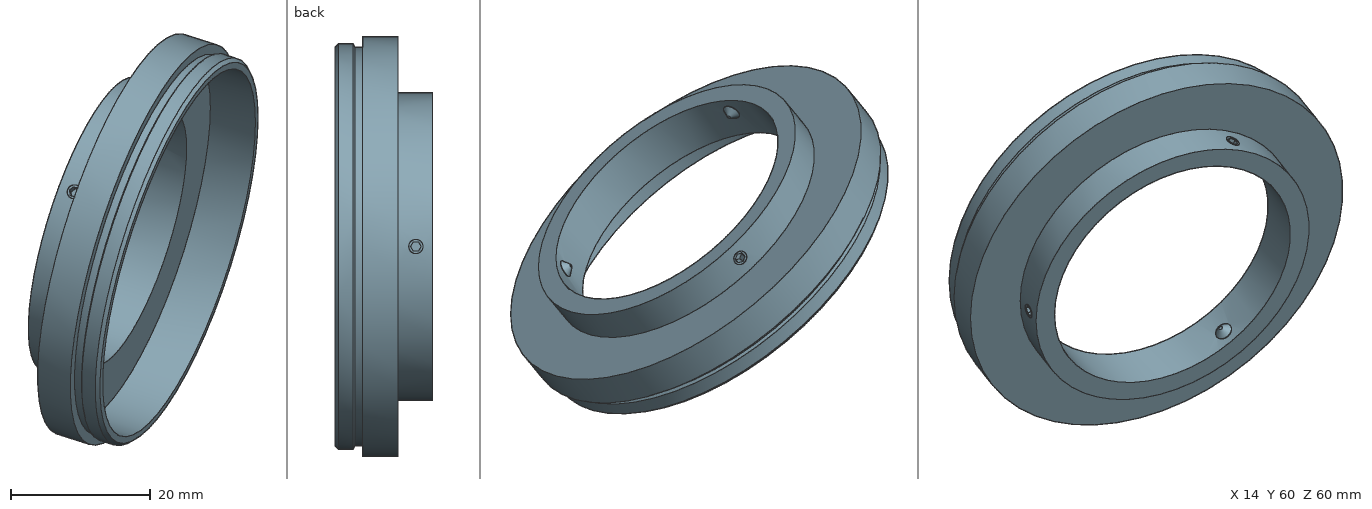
import cadquery as cq
import math

BORE_DIAMETER = 38.0
HUB_DIAMETER = 44.0
FLANGE_DIAMETER = 60
GROOVE_DIAMETER = 57
THREAD_DIAMETER = 58.0
COUNTERBORE_DIAMETER = 55.0
HUB_LENGTH = 4.9
FLANGE_END = 10.0
GROOVE_END = 11.1
TOTAL_LENGTH = 14.0
THREAD_LEAD_IN = (THREAD_DIAMETER - GROOVE_DIAMETER) / 2
THREAD_BACK_CHAMFER = THREAD_LEAD_IN / 2
COUNTERBORE_DEPTH = 7.0
COUNTERBORE_FLOOR = TOTAL_LENGTH - COUNTERBORE_DEPTH

SCREW_COUNT = 3
SCREW_DIAMETER = 2.5
SCREW_HOLE_DIAMETER = 2.05
SCREW_X = 2.4
SCREW_TIP_RADIUS = 18
SCREW_TIP_DIAMETER = 0.55
SCREW_CONE_LENGTH = 0.9
SCREW_HEAD_RADIUS = 21.9
SCREW_HEAD_CHAMFER = (SCREW_DIAMETER - SCREW_HOLE_DIAMETER) / 2
SOCKET_ACROSS_FLATS = 1.3
SOCKET_DEPTH = 1.2


def make_ring():
    """Revolve the stepped ring section about the X axis."""
    section = [
        (0, BORE_DIAMETER / 2),
        (0, HUB_DIAMETER / 2),
        (HUB_LENGTH, HUB_DIAMETER / 2),
        (HUB_LENGTH, FLANGE_DIAMETER / 2),
        (FLANGE_END, FLANGE_DIAMETER / 2),
        (FLANGE_END, GROOVE_DIAMETER / 2),
        (GROOVE_END, GROOVE_DIAMETER / 2),
        (GROOVE_END + THREAD_BACK_CHAMFER, THREAD_DIAMETER / 2),
        (TOTAL_LENGTH - THREAD_LEAD_IN, THREAD_DIAMETER / 2),
        (TOTAL_LENGTH, GROOVE_DIAMETER / 2),
        (TOTAL_LENGTH, COUNTERBORE_DIAMETER / 2),
        (COUNTERBORE_FLOOR, COUNTERBORE_DIAMETER / 2),
        (COUNTERBORE_FLOOR, BORE_DIAMETER / 2),
    ]
    return cq.Workplane("XY").polyline(section).close().revolve(360, (0, 0, 0), (1, 0, 0))


def radial_plane(radius):
    """Plane facing outward along +Y at the given radius, centred on the screw axis."""
    return cq.Workplane(cq.Plane((SCREW_X, radius, 0), (1, 0, 0), (0, 1, 0)))


def make_screw_hole():
    """Core hole through the hub wall; the screw threads bite into the wall around it."""
    length = HUB_DIAMETER / 2 - SCREW_TIP_RADIUS
    return radial_plane(SCREW_TIP_RADIUS).circle(SCREW_HOLE_DIAMETER / 2).extrude(length)


def make_screw():
    """Set screw with a flat-ended cone point and a hexagon socket in its head."""
    tip_edge_x = SCREW_X + SCREW_TIP_DIAMETER / 2
    body_edge_x = SCREW_X + SCREW_DIAMETER / 2
    head_edge_x = body_edge_x - SCREW_HEAD_CHAMFER
    outline = [
        (SCREW_X, SCREW_TIP_RADIUS),
        (tip_edge_x, SCREW_TIP_RADIUS),
        (body_edge_x, SCREW_TIP_RADIUS + SCREW_CONE_LENGTH),
        (body_edge_x, SCREW_HEAD_RADIUS - SCREW_HEAD_CHAMFER),
        (head_edge_x, SCREW_HEAD_RADIUS),
        (SCREW_X, SCREW_HEAD_RADIUS),
    ]
    body = cq.Workplane("XY").polyline(outline).close().revolve(360, (SCREW_X, 0, 0), (SCREW_X, 1, 0))
    corner_diameter = SOCKET_ACROSS_FLATS / math.cos(math.pi / 6)
    socket = radial_plane(SCREW_HEAD_RADIUS).polygon(6, corner_diameter).extrude(-SOCKET_DEPTH)
    return body.cut(socket)


result = make_ring()
screw_hole = make_screw_hole()
screw = make_screw()
for index in range(SCREW_COUNT):
    angle = index * 360 / SCREW_COUNT
    result = result.cut(screw_hole.rotate((0, 0, 0), (1, 0, 0), angle))
    result = result.union(screw.rotate((0, 0, 0), (1, 0, 0), angle))